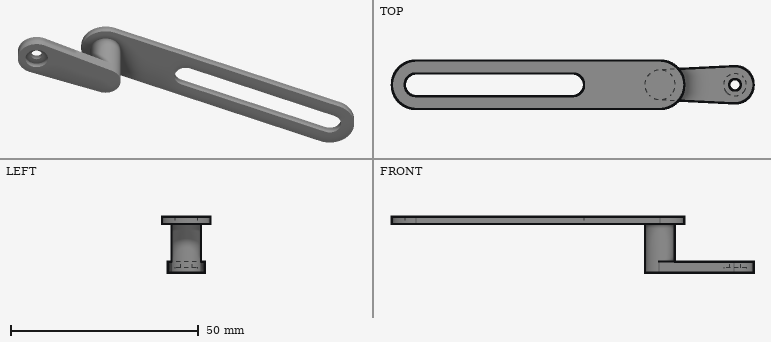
import cadquery as cq
import math

plate_width = 13.0
plate_thickness = 2.0
plate_center_distance = 65.0
slot_width = 6.0
slot_center_distance = 41.75

pin_diameter = 8.0

arm_thickness = 3.0
arm_center_distance = 20.0
arm_tip_diameter = 10.0
arm_hole_diameter = 3.0
arm_recess_diameter = 6.0
arm_recess_depth = 1.5

total_height = 15.0
plate_bottom = total_height - plate_thickness
slot_left_center = -plate_center_distance


def make_plate():
    """Round-ended plate with a slot concentric with its left end."""
    plate = (
        cq.Workplane("XY", origin=(-plate_center_distance / 2, 0, plate_bottom))
        .slot2D(plate_center_distance + plate_width, plate_width)
        .extrude(plate_thickness)
    )
    slot_middle = slot_left_center + slot_center_distance / 2
    slot = (
        cq.Workplane("XY", origin=(slot_middle, 0, plate_bottom))
        .slot2D(slot_center_distance + slot_width, slot_width)
        .extrude(plate_thickness)
    )
    return plate.cut(slot)


def make_pin():
    """Cylinder joining the underside of the plate to the arm."""
    return cq.Workplane("XY").circle(pin_diameter / 2).extrude(plate_bottom)


def make_arm():
    """Tapered arm with a round tip, drilled through and counterbored from below."""
    pin_radius = pin_diameter / 2
    tip_radius = arm_tip_diameter / 2
    normal_x = (pin_radius - tip_radius) / arm_center_distance
    normal_y = math.sqrt(1 - normal_x**2)
    pin_tangent_x = pin_radius * normal_x
    pin_tangent_y = pin_radius * normal_y
    tip_tangent_x = arm_center_distance + tip_radius * normal_x
    tip_tangent_y = tip_radius * normal_y
    arm = (
        cq.Workplane("XY")
        .moveTo(pin_tangent_x, -pin_tangent_y)
        .lineTo(tip_tangent_x, -tip_tangent_y)
        .threePointArc((arm_center_distance + tip_radius, 0), (tip_tangent_x, tip_tangent_y))
        .lineTo(pin_tangent_x, pin_tangent_y)
        .close()
        .extrude(arm_thickness)
    )
    hole = (
        cq.Workplane("XY")
        .center(arm_center_distance, 0)
        .circle(arm_hole_diameter / 2)
        .extrude(arm_thickness)
    )
    recess = (
        cq.Workplane("XY")
        .center(arm_center_distance, 0)
        .circle(arm_recess_diameter / 2)
        .extrude(arm_recess_depth)
    )
    return arm.cut(hole).cut(recess)


result = make_plate().union(make_pin()).union(make_arm())